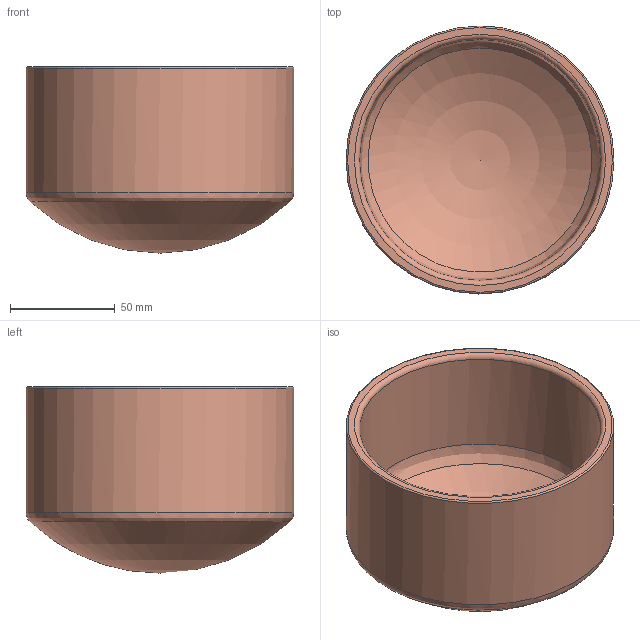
import cadquery as cq
import math

outer_diameter = 127.71
outer_radius = outer_diameter / 2
total_height = 88.8
wall_thickness = 6.35
floor_thickness = 9.6
inner_radius = outer_radius - wall_thickness

outer_dome_radius = 90.8
inner_dome_radius = 85.2

outer_knuckle_radius = 6.0
inner_knuckle_radius = 11.0
rim_inner_fillet = 2.4
rim_outer_fillet = 0.7


def domed_cylinder(radius, height, dome_radius, knuckle_radius):
    """Round plug hanging below z = 0, with a domed end blended into its side."""
    dome_centre_z = dome_radius - height
    corner_z = dome_centre_z - math.sqrt(dome_radius**2 - radius**2)
    mid_angle = math.asin(radius / dome_radius) / 2
    mid_point = (
        dome_radius * math.sin(mid_angle),
        dome_centre_z - dome_radius * math.cos(mid_angle),
    )
    profile = (
        cq.Workplane("YZ")
        .lineTo(radius, 0)
        .lineTo(radius, corner_z)
        .threePointArc(mid_point, (0, -height))
        .close()
    )
    plug = profile.revolve(360, (0, 0), (0, 1))
    corner_edge = plug.faces("%SPHERE").edges("%CIRCLE").edges(">Z")
    return corner_edge.fillet(knuckle_radius)


def round_rim(cup):
    """Round the inner and outer edges of the flat rim."""
    rim_edges = cup.faces(">Z").edges()
    inner_edge = rim_edges.sort(lambda edge: edge.Length())[0]
    cup = inner_edge.fillet(rim_inner_fillet)
    outer_edge = cup.faces(">Z").edges().sort(lambda edge: edge.Length())[-1]
    return outer_edge.fillet(rim_outer_fillet)


body = domed_cylinder(outer_radius, total_height, outer_dome_radius, outer_knuckle_radius)
cavity = domed_cylinder(
    inner_radius, total_height - floor_thickness, inner_dome_radius, inner_knuckle_radius
)
result = round_rim(body.cut(cavity))